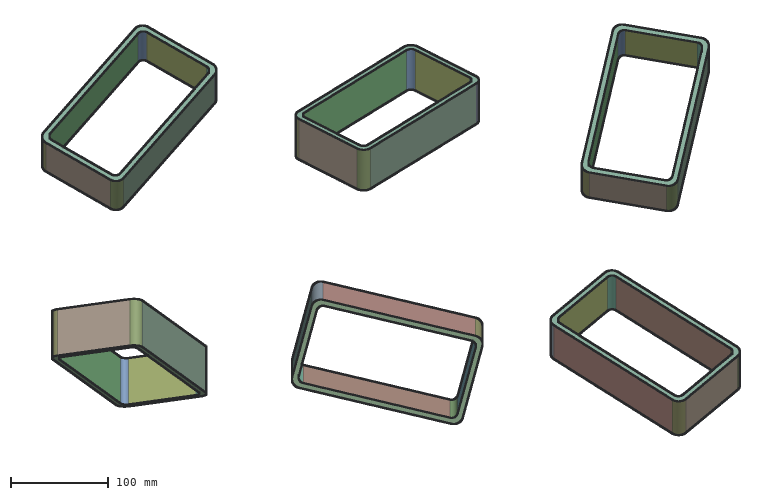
import cadquery as cq

width = 100.0
length = 180.0
height = 50.0
wall = 6.3
outer_radius = 9.7
inner_radius = 6.3


def rounded_block(size_x, size_y, corner_radius):
    """Block centred on the origin with its four vertical edges rounded."""
    return cq.Workplane("XY").box(size_x, size_y, height).edges("|Z").fillet(corner_radius)


outside = rounded_block(width, length, outer_radius)
opening = rounded_block(width - 2 * wall, length - 2 * wall, inner_radius)

result = outside.cut(opening)